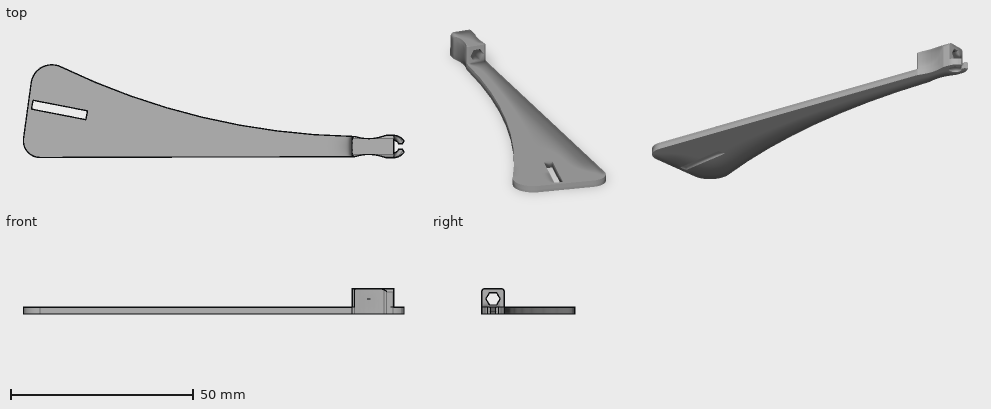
import cadquery as cq
import math


plate_thickness = 1.9
head_height = 7.0
joint_x = 90.2
joint_half_width = 2.8

bottom_corner = (-0.68, -3.0)
top_corner = (3.2, 25.5)
upper_edge_middle = (55.3, 6.7)
bottom_corner_radius = 4.6
top_corner_radius = 5.8

slot_length = 15.2
slot_width = 2.4
slot_center = (9.9, 10.0)
slot_angle = -11.0

head_end_x = 101.7
entry_chamfer = 0.6
waist_x = 94.6
waist_half_width = 2.2
waist_end_x = 99.0
waist_end_half_width = 2.9
bulge_start_x = 99.8
bulge_end_x = 101.4
bulge_half_width = 3.1
top_flat_half_width = 2.2

shoulder_end_x = 103.9
shoulder_end_half_width = 2.2
tip_x = 104.6
tip_half_width = 1.6
lip_x = 104.0
gap_half_width = 0.7

bore_across_flats = 3.3
bore_z = 4.2
clip_x = 101.4
clip_hole_radius = 1.8
clip_rim_radius = 2.9


def make_paddle():
    """Flat blade with two rounded corners, one long concave edge and a slot."""
    blade = (
        cq.Workplane("XY")
        .moveTo(*bottom_corner)
        .lineTo(joint_x, -joint_half_width)
        .lineTo(joint_x, joint_half_width)
        .threePointArc(upper_edge_middle, top_corner)
        .close()
        .extrude(plate_thickness)
    )
    for corner, radius in ((bottom_corner, bottom_corner_radius), (top_corner, top_corner_radius)):
        corner_edge = cq.selectors.NearestToPointSelector((*corner, plate_thickness / 2))
        blade = blade.edges(corner_edge).fillet(radius)
    slot = (
        cq.Workplane("XY")
        .rect(slot_length, slot_width)
        .extrude(plate_thickness)
        .rotate((0, 0, 0), (0, 0, 1), slot_angle)
        .translate((*slot_center, 0))
    )
    return blade.cut(slot)


def half_head():
    """The +Y half of the head and its prong, at full height and without any cuts."""
    return (
        cq.Workplane("XY")
        .moveTo(joint_x, 0)
        .lineTo(joint_x, joint_half_width)
        .lineTo(joint_x + entry_chamfer, joint_half_width)
        .threePointArc((waist_x, waist_half_width), (waist_end_x, waist_end_half_width))
        .tangentArcPoint((bulge_start_x, bulge_half_width), relative=False)
        .lineTo(bulge_end_x, bulge_half_width)
        .tangentArcPoint((shoulder_end_x, shoulder_end_half_width), relative=False)
        .lineTo(tip_x, tip_half_width)
        .lineTo(lip_x, gap_half_width)
        .lineTo(lip_x, 0)
        .close()
        .extrude(head_height)
    )


def rounded_envelope():
    """Box with rounded top corners along X that bounds the head."""
    rounding = bulge_half_width - top_flat_half_width
    return (
        cq.Workplane("XY")
        .box(tip_x - joint_x, 2 * bulge_half_width, head_height, centered=(False, True, False))
        .edges("|X and >Z")
        .fillet(rounding)
        .translate((joint_x, 0, 0))
    )


def entry_corner_cut():
    """Triangular prism that bevels the +Y upright edge above the paddle."""
    return (
        cq.Workplane("XY")
        .workplane(offset=plate_thickness)
        .moveTo(joint_x, joint_half_width - entry_chamfer)
        .lineTo(joint_x + entry_chamfer, joint_half_width)
        .lineTo(joint_x, joint_half_width)
        .close()
        .extrude(head_height - plate_thickness)
    )


def above_prongs_cut():
    """Block that lowers the prongs to the thickness of the paddle."""
    return (
        cq.Workplane("XY")
        .box(tip_x - head_end_x, 2 * bulge_half_width, head_height, centered=(False, True, False))
        .translate((head_end_x, 0, plate_thickness))
    )


def prong_gap():
    """Narrow opening that leads from the clip hole out between the prong tips."""
    return (
        cq.Workplane("XY")
        .box(tip_x - clip_x, 2 * gap_half_width, plate_thickness, centered=(False, True, False))
        .translate((clip_x, 0, 0))
    )


def clip_hole():
    """Upright hole whose upper rim flares out with a quarter round."""
    flare = clip_rim_radius - clip_hole_radius
    flare_start_z = plate_thickness - flare
    diagonal = flare * math.cos(math.pi / 4)
    return (
        cq.Workplane("XZ")
        .lineTo(clip_hole_radius, 0)
        .lineTo(clip_hole_radius, flare_start_z)
        .threePointArc(
            (clip_rim_radius - diagonal, flare_start_z + diagonal),
            (clip_rim_radius, plate_thickness),
        )
        .lineTo(0, plate_thickness)
        .close()
        .revolve(360, (0, 0, 0), (0, 1, 0))
        .translate((clip_x, 0, 0))
    )


def make_head():
    """Waisted block with a six-sided bore along X and a two-pronged clip at its foot."""
    half = half_head().cut(entry_corner_cut())
    head = half.union(half.mirror("XZ")).intersect(rounded_envelope())
    bore_across_corners = bore_across_flats / math.cos(math.pi / 6)
    bore = (
        cq.Workplane("YZ", origin=(joint_x, 0, bore_z))
        .polygon(6, bore_across_corners)
        .extrude(head_end_x - joint_x)
    )
    return head.cut(above_prongs_cut()).cut(bore).cut(prong_gap()).cut(clip_hole())


paddle = make_paddle()
head = make_head()

result = cq.Compound.makeCompound([paddle.solids().val(), head.solids().val()])